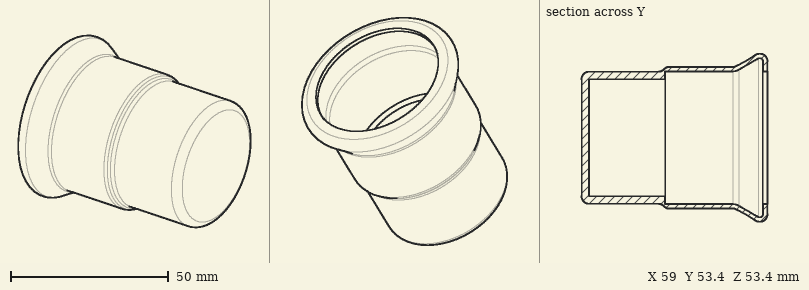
import cadquery as cq
import math

length = 59.0
rim_radius = 26.7

socket_radius = 22.5
spigot_radius = 21.0
rim_round = 2.5
flare_angle = math.radians(30)
flare_blend = 2.25
step_start = 31.4
step_angle = math.radians(40)
step_round = 1.65
step_blend = 2.0
end_round = 2.5

wall = 1.5
mouth_radius = socket_radius - wall
spigot_bore_radius = spigot_radius - end_round
socket_depth = 32.45
floor_thickness = end_round


def on_arc(center, radius, angle):
    """Point on a circle, with the angle measured from the +X axis."""
    return (center[0] + radius * math.cos(angle), center[1] + radius * math.sin(angle))


up = math.pi / 2
rim_center = (rim_round, rim_radius - rim_round)
blend_center_radius = socket_radius + flare_blend
flare_drop = rim_center[1] - blend_center_radius + (rim_round + flare_blend) * math.cos(flare_angle)
blend_center = (
    rim_center[0]
    + flare_drop / math.tan(flare_angle)
    + (rim_round + flare_blend) * math.sin(flare_angle),
    blend_center_radius,
)


def build_outside():
    flare_start = on_arc(rim_center, rim_round, up - flare_angle)
    flare_end = on_arc(blend_center, flare_blend, -up - flare_angle)

    round_center = (step_start, socket_radius - step_round)
    cone_start = on_arc(round_center, step_round, up - step_angle)
    cone_end_radius = spigot_radius + step_blend * (1 - math.cos(step_angle))
    cone_run = (cone_start[1] - cone_end_radius) / math.tan(step_angle)
    cone_end = (cone_start[0] + cone_run, cone_end_radius)
    step_blend_center = (cone_end[0] + step_blend * math.sin(step_angle), spigot_radius + step_blend)

    end_center = (length - end_round, spigot_radius - end_round)
    return (
        cq.Workplane("XY")
        .moveTo(0, 0)
        .lineTo(0, rim_center[1])
        .threePointArc(on_arc(rim_center, rim_round, math.radians(135)), flare_start)
        .lineTo(*flare_end)
        .threePointArc(
            on_arc(blend_center, flare_blend, -up - flare_angle / 2),
            (blend_center[0], socket_radius),
        )
        .lineTo(step_start, socket_radius)
        .threePointArc(on_arc(round_center, step_round, up - step_angle / 2), cone_start)
        .lineTo(*cone_end)
        .threePointArc(
            on_arc(step_blend_center, step_blend, -up - step_angle / 2),
            (step_blend_center[0], spigot_radius),
        )
        .lineTo(end_center[0], spigot_radius)
        .threePointArc(on_arc(end_center, end_round, up / 2), (length, end_center[1]))
        .lineTo(length, 0)
        .close()
        .revolve(360, (0, 0, 0), (1, 0, 0))
    )


def build_bore():
    floor = length - floor_thickness
    return (
        cq.Workplane("XY")
        .moveTo(0, 0)
        .lineTo(0, mouth_radius)
        .lineTo(socket_depth, mouth_radius)
        .lineTo(socket_depth, spigot_bore_radius)
        .lineTo(floor, spigot_bore_radius)
        .lineTo(floor, 0)
        .close()
        .revolve(360, (0, 0, 0), (1, 0, 0))
    )


def build_seal_groove():
    inner_round = rim_round - wall
    inner_blend = flare_blend + wall
    flare_start = on_arc(rim_center, inner_round, up - flare_angle)
    flare_end = on_arc(blend_center, inner_blend, -up - flare_angle)
    return (
        cq.Workplane("XY")
        .moveTo(wall, 0)
        .lineTo(wall, rim_center[1])
        .threePointArc(on_arc(rim_center, inner_round, math.radians(135)), flare_start)
        .lineTo(*flare_end)
        .threePointArc(
            on_arc(blend_center, inner_blend, -up - flare_angle / 2),
            (blend_center[0], mouth_radius),
        )
        .lineTo(blend_center[0], 0)
        .close()
        .revolve(360, (0, 0, 0), (1, 0, 0))
    )


result = build_outside().cut(build_bore()).cut(build_seal_groove())